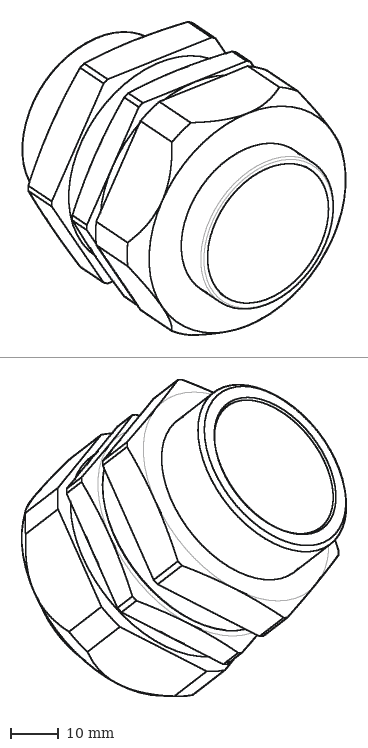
import cadquery as cq
import math

body_hex_start = 13.0
body_hex_end = 22.0
ring_hex_start = 28.0
ring_hex_end = 34.0
cap_start = 37.0
cap_cone_start = 47.75
cap_end = 52.0
total_length = 59.0

bore_diameter = 32.0
thread_diameter = 40.0
tube_diameter = 35.0
neck_diameter = 48.0
nut_flats = 50.0
cap_flats = 52.0
corner_diameter = 57.0

thread_chamfer = 0.95
bore_chamfer = 0.4
tube_rounding = 0.5
neck_chamfer = 0.4
nut_chamfer_length = 1.0


def cylinder(start, end, diameter):
    """Cylinder on the X axis between two stations."""
    return cq.Workplane("YZ", origin=(start, 0, 0)).circle(diameter / 2).extrude(end - start)


def hexagon(start, end, flats):
    """Hexagonal prism with corners on Y and flats facing up and down."""
    across_corners = flats / math.cos(math.pi / 6)
    return cq.Workplane("YZ", origin=(start, 0, 0)).polygon(6, across_corners).extrude(end - start)


def turned(profile):
    """Solid of revolution about X from (x, radius) points, closed along the axis."""
    points = [(profile[0][0], 0), *profile, (profile[-1][0], 0)]
    return cq.Workplane("XY").polyline(points).close().revolve(360, (0, 0, 0), (1, 0, 0))


def nut(start, end):
    """Hexagon with rounded corners and a conical chamfer on its -X face."""
    envelope = turned([
        (start, nut_flats / 2),
        (start + nut_chamfer_length, corner_diameter / 2),
        (end, corner_diameter / 2),
    ])
    return hexagon(start, end, nut_flats).intersect(envelope)


def cap():
    """Larger hexagon whose corners run out on a long cone towards +X."""
    envelope = turned([
        (cap_start, corner_diameter / 2),
        (cap_cone_start, corner_diameter / 2),
        (cap_end, cap_flats / 2),
    ])
    return hexagon(cap_start, cap_end, cap_flats).intersect(envelope)


thread = cylinder(0, body_hex_start, thread_diameter).faces("<X").chamfer(thread_chamfer)
neck = cylinder(body_hex_end, ring_hex_start, neck_diameter).faces(">X").chamfer(neck_chamfer)
collar = cylinder(ring_hex_end, cap_start, nut_flats)
tube = cylinder(cap_end, total_length, tube_diameter).faces(">X").fillet(tube_rounding)

outside = (
    thread
    .union(nut(body_hex_start, body_hex_end))
    .union(neck)
    .union(nut(ring_hex_start, ring_hex_end))
    .union(collar)
    .union(cap())
    .union(tube)
)

bore = cylinder(0, total_length, bore_diameter)
bore_mouth = turned([
    (0, bore_diameter / 2 + bore_chamfer),
    (bore_chamfer, bore_diameter / 2),
])
result = outside.cut(bore).cut(bore_mouth)